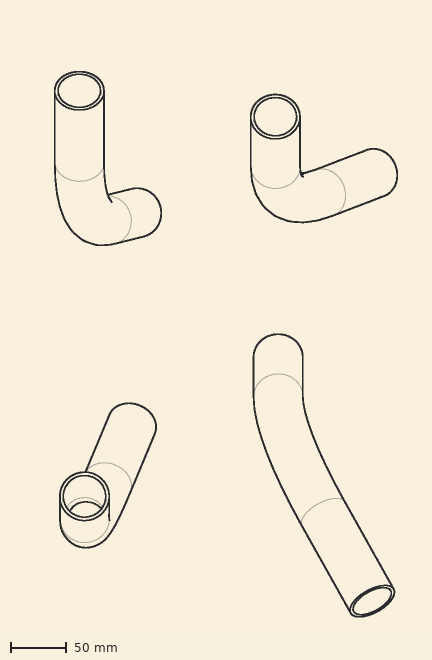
import cadquery as cq
import math

outer_diameter = 44.5
inner_diameter = 38.2
leg_length = 102.0
bend_radius = 227.3
bend_angle = 45.0


def bend_point(angle):
    """Centreline (Y, Z) after turning by angle, with the bend starting at the origin."""
    turn = math.radians(angle)
    return bend_radius * (1 - math.cos(turn)), -bend_radius * math.sin(turn)


bend_end = bend_point(bend_angle)
slope = math.radians(bend_angle)
lower_end = (
    bend_end[0] + leg_length * math.sin(slope),
    bend_end[1] - leg_length * math.cos(slope),
)
centreline = (
    cq.Workplane("YZ")
    .moveTo(0, leg_length)
    .lineTo(0, 0)
    .threePointArc(bend_point(bend_angle / 2), bend_end)
    .lineTo(*lower_end)
)

result = (
    cq.Workplane("XY", origin=(0, 0, leg_length))
    .circle(outer_diameter / 2)
    .circle(inner_diameter / 2)
    .sweep(centreline)
)